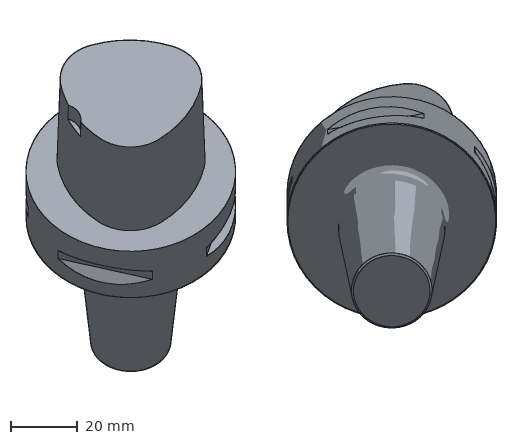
import cadquery as cq
import math

flange_diameter = 63.0
flange_height = 22.0
flange_chamfer = 0.3

shank_height = 38.0
shank_taper_angle = math.degrees(math.atan(1 / 40))
lobe_tip_radius = 23.4
flank_radius_at_middle = 20.45
lobe_arc_radius = 14.8

notch_diameter = 12.0
notch_axis_y = -24.0
notch_depth = 6.5

groove_count = 4
groove_start_angle = 45.0
groove_center_z = -12.0
groove_floor_width = 3.7
groove_floor_distance = 27.85
groove_wall_angle = 30.0

nose_length = 80.0
neck_diameter = 31.9
neck_end_z = -29.5
neck_fillet = 2.2
nose_end_diameter = 24.2
nose_end_chamfer = 0.6


def polar(radius, angle):
    """Point at a distance and an angle in degrees from the part axis."""
    return radius * math.cos(math.radians(angle)), radius * math.sin(math.radians(angle))


def make_shank():
    lobe_offset = lobe_tip_radius - lobe_arc_radius
    radius_step = flank_radius_at_middle - lobe_arc_radius
    flank_offset = (lobe_offset**2 - radius_step**2) / (2 * radius_step - lobe_offset)
    flank_arc_radius = flank_offset + flank_radius_at_middle

    lobe_x, lobe_y = polar(lobe_offset, -30)
    stretch = flank_arc_radius / (flank_arc_radius - lobe_arc_radius)
    joint_x = lobe_x * stretch
    joint_y = flank_offset + (lobe_y - flank_offset) * stretch
    joint_radius = math.hypot(joint_x, joint_y)
    joint_half_angle = math.degrees(math.atan2(joint_x, -joint_y))

    outline = cq.Workplane("XY").moveTo(*polar(joint_radius, -90 - joint_half_angle))
    for flank_angle in (-90, 30, 150):
        lobe_angle = flank_angle + 60
        next_flank_angle = flank_angle + 120
        outline = outline.threePointArc(
            polar(flank_radius_at_middle, flank_angle),
            polar(joint_radius, flank_angle + joint_half_angle),
        )
        outline = outline.threePointArc(
            polar(lobe_tip_radius, lobe_angle),
            polar(joint_radius, next_flank_angle - joint_half_angle),
        )
    return outline.close().extrude(shank_height, taper=shank_taper_angle)


def make_notch():
    return (
        cq.Workplane("XY", origin=(0, notch_axis_y, shank_height - notch_depth))
        .circle(notch_diameter / 2)
        .extrude(notch_depth)
    )


def make_flange():
    return (
        cq.Workplane("XY", origin=(0, 0, -flange_height))
        .circle(flange_diameter / 2)
        .extrude(flange_height)
        .faces("<Z")
        .chamfer(flange_chamfer)
    )


def make_groove(angle):
    """Straight groove across the flange rim with a flat floor and flaring walls."""
    rim_clearance = 1.0
    outer_distance = flange_diameter / 2 + rim_clearance
    flare = (outer_distance - groove_floor_distance) * math.tan(math.radians(groove_wall_angle))
    floor_half = groove_floor_width / 2
    mouth_half = floor_half + flare
    return (
        cq.Workplane("XZ", origin=(0, 0, groove_center_z))
        .moveTo(groove_floor_distance, -floor_half)
        .lineTo(outer_distance, -mouth_half)
        .lineTo(outer_distance, mouth_half)
        .lineTo(groove_floor_distance, floor_half)
        .close()
        .extrude(flange_diameter / 2, both=True)
        .rotate((0, 0, 0), (0, 0, 1), angle)
    )


def make_nose():
    """Turned nose: fillet under the flange, short neck, cone and chamfered end."""
    neck_radius = neck_diameter / 2
    nose_end_radius = nose_end_diameter / 2
    fillet_middle = neck_fillet * (1 - math.sqrt(0.5))
    profile = (
        cq.Workplane("XZ")
        .moveTo(0, -flange_height)
        .lineTo(neck_radius + neck_fillet, -flange_height)
        .threePointArc(
            (neck_radius + fillet_middle, -flange_height - fillet_middle),
            (neck_radius, -flange_height - neck_fillet),
        )
        .lineTo(neck_radius, neck_end_z)
        .lineTo(nose_end_radius, -nose_length + nose_end_chamfer)
        .lineTo(nose_end_radius - nose_end_chamfer, -nose_length)
        .lineTo(0, -nose_length)
        .close()
    )
    return profile.revolve(360, (0, 0, 0), (0, 1, 0))


result = make_flange().union(make_shank()).union(make_nose()).cut(make_notch())
for groove_index in range(groove_count):
    groove_angle = groove_start_angle + groove_index * 360 / groove_count
    result = result.cut(make_groove(groove_angle))